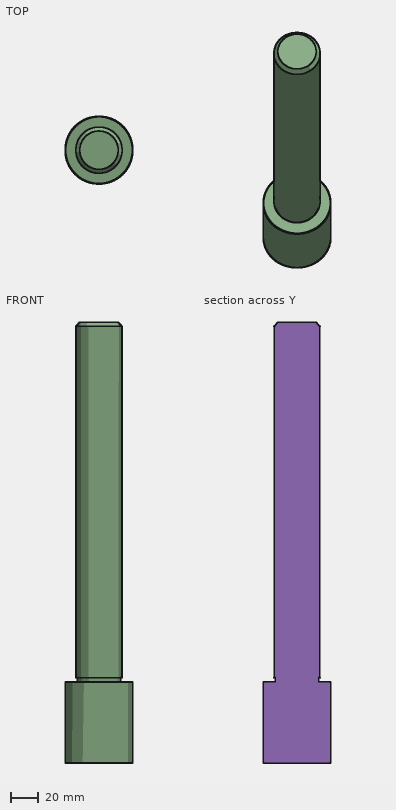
import cadquery as cq

total_length = 325.0
head_diameter = 50.0
head_length = 60.0
shaft_diameter = 34.0

tip_chamfer_width = 3.0
tip_chamfer_height = 3.2
neck_diameter = 32.2
neck_height = 3.0
head_chamfer = 0.5

shaft_start = head_length + neck_height


def cylinder(diameter, start, end):
    """Solid cylinder on the Z axis between two heights."""
    return cq.Workplane("XY").workplane(offset=start).circle(diameter / 2).extrude(end - start)


head = cylinder(head_diameter, 0, head_length).edges("%CIRCLE").chamfer(head_chamfer)

neck = cylinder(neck_diameter, head_length, shaft_start)

shaft = cylinder(shaft_diameter, shaft_start, total_length)
shaft = shaft.faces(">Z").edges().chamfer(tip_chamfer_height, tip_chamfer_width)

result = head.union(neck).union(shaft)